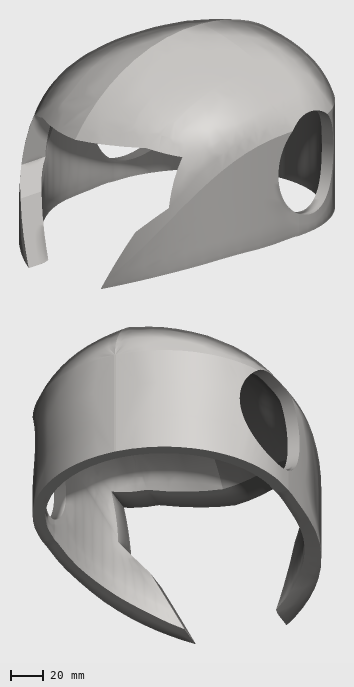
import cadquery as cq
import math


HALF_WIDTH = 82.5
REAR_REACH = 83.7
TIP_FORWARD = 125.5
FRONT_REACH = 132.0
FRONT_FULLNESS = 2.9

CROWN_HEIGHT = 120.8
CROWN_FORWARD = 10.5
RIDGE_FRONT_REACH = 125.5
RIDGE_FRONT_DROP = 104.7
EAVE_HEIGHT = 70.1
EAVE_DROP = 94.2
EAVE_DROP_POWER = 2.8
SHOULDER_SIDE = 0.63
SHOULDER_RISE_REAR = 0.65
SHOULDER_RISE_FRONT = 0.8
EAVE_LEAN = 0.5
RIDGE_FALL = 0.17

WALL = 8.0
FRONT_WALL = 17.8
HOLLOW_FORWARD = FRONT_REACH - FRONT_WALL - 0.6
HOLLOW_BOTTOM = -41.9

RIM_SLOPE_START = 78.7
CHEEK_TIP_SIDE = 30.4
CHEEK_TIP_DROP = 16.0
RIM_SLOPE = CHEEK_TIP_DROP / (RIM_SLOPE_START - CHEEK_TIP_SIDE)
RIM_TILT_FORWARD = 106.8
RIM_TILT_POWER = 6

BROW_HEIGHT = 72.8
BROW_SIDE = 44.0
OPENING_SIDE = 62.4
OPENING_SIDE_TOP = 68.0
OPENING_SIDE_BOTTOM = 37.7
CHEEK_CORNER = (48.5, 22.6)
OPENING_START = 41.9

EAR_RADIUS = 32.7
EAR_BACK = 13.8
EAR_HEIGHT = 44.0

POLE_ANGLE = 0.5
REAR_STATIONS = 9
FRONT_STATIONS = 10


def plan_half_width(forward, inset, front_inset):
    """Half width of the plan outline: an ellipse at the rear, a fuller curve at the front."""
    if forward < 0:
        share = 1 - (forward / (REAR_REACH - inset)) ** 2
    else:
        share = 1 - (forward / (FRONT_REACH - front_inset)) ** FRONT_FULLNESS
    return (HALF_WIDTH - inset) * math.sqrt(share)


def ridge_height(forward, inset, front_inset):
    """Height of the centre ridge: one quarter ellipse behind the crown and one ahead of it."""
    ahead = forward - CROWN_FORWARD
    if ahead < 0:
        reach = REAR_REACH + CROWN_FORWARD - inset
        drop = CROWN_HEIGHT - inset - EAVE_HEIGHT
    else:
        reach = RIDGE_FRONT_REACH - front_inset
        drop = RIDGE_FRONT_DROP
    return CROWN_HEIGHT - inset - drop * (1 - math.sqrt(1 - (ahead / reach) ** 2))


def rim_heights(forward, half_width):
    """Height of the rim at the outer wall, and its height extended to the centre plane."""
    if forward <= 0:
        return 0.0, 0.0
    at_wall = -RIM_SLOPE * max(0.0, RIM_SLOPE_START - half_width)
    tilt = RIM_SLOPE * min(1.0, (forward / RIM_TILT_FORWARD) ** RIM_TILT_POWER)
    return at_wall, at_wall - tilt * half_width


def half_section(forward, inset, front_inset, hollow):
    """Cross-section of the +X half: centre plane, bottom, side wall and dome curve."""
    side = plan_half_width(forward, inset, front_inset)
    ridge = ridge_height(forward, inset, front_inset)
    front_share = max(0.0, forward) / (FRONT_REACH - front_inset)
    eave = EAVE_HEIGHT - EAVE_DROP * front_share ** EAVE_DROP_POWER
    shoulder = SHOULDER_RISE_REAR + (SHOULDER_RISE_FRONT - SHOULDER_RISE_REAR) * front_share
    lean = EAVE_LEAN * (1 - front_share) ** 2
    if hollow:
        bottom_side, bottom_centre = HOLLOW_BOTTOM, HOLLOW_BOTTOM
    else:
        bottom_side, bottom_centre = rim_heights(forward, side)
    return (
        cq.Workplane("XZ", origin=(0, -forward, 0))
        .moveTo(0, bottom_centre)
        .lineTo(side, bottom_side)
        .lineTo(side, eave)
        .spline(
            [(SHOULDER_SIDE * side, eave + shoulder * (ridge - eave)), (0, ridge)],
            tangents=[(-lean, 1), (-1, RIDGE_FALL)],
            includeCurrent=True,
        )
        .close()
        .val()
    )


def half_body(inset, front_inset, front_end, hollow):
    """Solid +X half of the helmet form, as a rear loft and a front loft joined at Y = 0."""
    rear_reach = REAR_REACH - inset
    angles = [
        math.radians(POLE_ANGLE + (90 - POLE_ANGLE) * i / REAR_STATIONS)
        for i in range(REAR_STATIONS + 1)
    ]
    rear = [-rear_reach * math.cos(angle) for angle in angles[:-1]] + [0.0]
    front = [
        front_end * math.sin(math.pi / 2 * i / FRONT_STATIONS)
        for i in range(FRONT_STATIONS + 1)
    ]
    lofts = [
        cq.Solid.makeLoft([half_section(f, inset, front_inset, hollow) for f in stations])
        for stations in (rear, front)
    ]
    return cq.Workplane(lofts[0]).union(cq.Workplane(lofts[1]))


def face_opening():
    """Prism that opens the face, from the brow down between the cheeks."""
    right = [
        (BROW_SIDE, BROW_HEIGHT),
        (OPENING_SIDE, OPENING_SIDE_TOP),
        (OPENING_SIDE, OPENING_SIDE_BOTTOM),
        CHEEK_CORNER,
        (CHEEK_TIP_SIDE, -CHEEK_TIP_DROP),
        (CHEEK_TIP_SIDE, HOLLOW_BOTTOM),
    ]
    left = [(-x, z) for x, z in reversed(right)]
    return (
        cq.Workplane("XZ", origin=(0, -OPENING_START, 0))
        .polyline(right + left)
        .close()
        .extrude(FRONT_REACH)
    )


def ear_holes():
    """One cylinder through both side walls."""
    return (
        cq.Workplane("YZ")
        .center(EAR_BACK, EAR_HEIGHT)
        .circle(EAR_RADIUS)
        .extrude(2 * HALF_WIDTH, both=True)
    )


outer_half = half_body(0, 0, TIP_FORWARD, hollow=False)
hollow_half = half_body(WALL, FRONT_WALL, HOLLOW_FORWARD, hollow=True)

half_shell = outer_half.cut(hollow_half).cut(face_opening()).cut(ear_holes())
result = half_shell.union(half_shell.mirror("YZ")).solids()